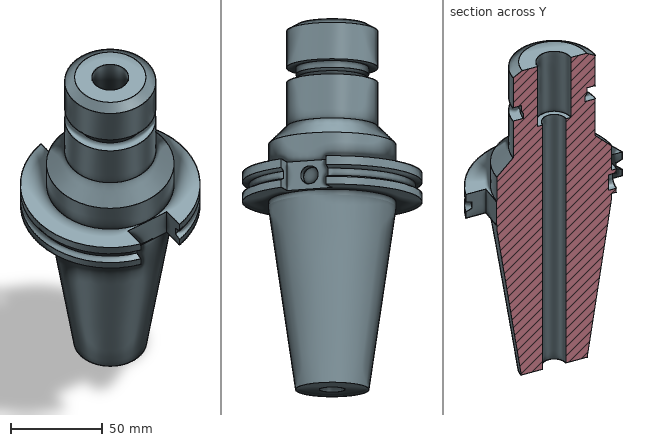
import cadquery as cq
import math


gauge_radius = 69.85 / 2
taper_length = 101.6
taper_ratio = 7 / 24
tip_radius = gauge_radius - taper_length * taper_ratio / 2

flange_radius = 98.425 / 2
flange_bottom = 3.175
flange_thickness = 15.875
flange_top = flange_bottom + flange_thickness
groove_root_radius = 45.6
groove_center = 10.8
groove_root_width = 4.0
groove_mouth_width = 6.8

slot_width = 25.92
left_slot_floor = 37.7
right_slot_floor = 35.3
chip_hole_diameter = 10.0
chip_hole_depth = 4.6
chip_hole_z = flange_bottom + flange_thickness / 2

nose_length = 101.6
body_radius = 25.0
shoulder_bottom = 35.1
shoulder_top = shoulder_bottom + gauge_radius - body_radius
body_top = 69.6

neck_radius = 20.0
relief_radius = 18.8
relief_top = 72.7
neck_bottom = 74.3

nut_radius = 25.0
nut_bottom = 78.1
nut_face_radius = 19.5
nut_chamfer_angle = math.radians(30)
nut_chamfer_height = (nut_radius - nut_face_radius) * math.tan(nut_chamfer_angle)

through_diameter = 14.0
collet_bore_diameter = 20.0
collet_bore_depth = 40.0


def turned_body():
    """Revolve the half outline of the shank, flange, body, neck and nut."""
    outline = [
        (0, -taper_length),
        (tip_radius, -taper_length),
        (gauge_radius, 0),
        (gauge_radius, flange_bottom),
        (flange_radius, flange_bottom),
        (flange_radius, groove_center - groove_mouth_width / 2),
        (groove_root_radius, groove_center - groove_root_width / 2),
        (groove_root_radius, groove_center + groove_root_width / 2),
        (flange_radius, groove_center + groove_mouth_width / 2),
        (flange_radius, flange_top),
        (gauge_radius, flange_top),
        (gauge_radius, shoulder_bottom),
        (body_radius, shoulder_top),
        (body_radius, body_top),
        (relief_radius, body_top),
        (relief_radius, relief_top),
        (neck_radius, neck_bottom),
        (neck_radius, nut_bottom),
        (nut_radius, nut_bottom),
        (nut_radius, nose_length - nut_chamfer_height),
        (nut_face_radius, nose_length),
        (0, nose_length),
    ]
    return cq.Workplane("XZ").polyline(outline).close().revolve(360, (0, 0, 0), (0, 1, 0))


def drive_slot(side, floor):
    """Block that cuts a drive slot on one side (-1 or +1 along X), from its floor outward."""
    return (
        cq.Workplane("XY")
        .box(flange_radius, slot_width, flange_thickness, centered=(True, True, False))
        .translate((side * (floor + flange_radius / 2), 0, flange_bottom))
    )


def chip_hole():
    """Blind radial hole running inward from the floor of the -X drive slot."""
    return (
        cq.Workplane("YZ", origin=(-left_slot_floor, 0, chip_hole_z))
        .circle(chip_hole_diameter / 2)
        .extrude(chip_hole_depth)
    )


def axial_bores():
    """Hole through the whole part, widened from the nut face to take the collet."""
    through = (
        cq.Workplane("XY", origin=(0, 0, -taper_length))
        .circle(through_diameter / 2)
        .extrude(taper_length + nose_length)
    )
    collet_bore = (
        cq.Workplane("XY", origin=(0, 0, nose_length))
        .circle(collet_bore_diameter / 2)
        .extrude(-collet_bore_depth)
    )
    return through.union(collet_bore)


result = turned_body()
for side, floor in ((-1, left_slot_floor), (1, right_slot_floor)):
    result = result.cut(drive_slot(side, floor))
result = result.cut(chip_hole()).cut(axial_bores())